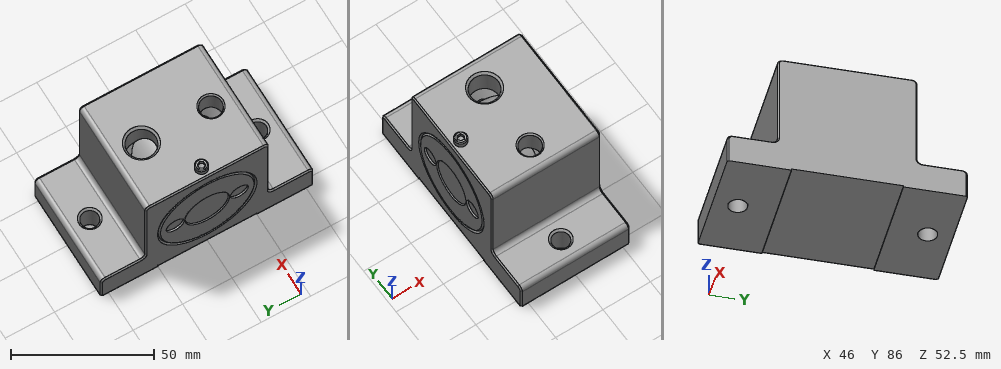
import cadquery as cq
import math

width = 46.0
foot_length = 86.0
foot_height = 11.95
block_length = 50.0
block_height = 50.0
profile_fillet = 2.0
end_chamfer = 0.6

relief_length = 40.0
relief_depth = 0.5

bore_height = block_height / 2
cartridge_diameter = 39.05
seam_depth = 0.6
cap_diameter = 18.0
cap_floor_diameter = 17.5
cap_recess = 0.5
pin_hole_diameter = 7.2
pin_hole_offset = 13.0
pin_hole_depth = 0.8

mount_diameter = 7.0
mount_mouth_diameter = 8.6
mount_offset = 34.0

inlet_y = -15.05
inlet_diameter = 8.6
inlet_mouth_diameter = 9.8
inlet_depth = 9.5
inlet_cone_slope = 1.6
outlet_y = 13.1
outlet_diameter = 11.4
outlet_mouth_diameter = 13.25
outlet_depth = 10.15
outlet_pilot_diameter = 6.7
outlet_cone_slope = 1.3

screw_x = -19.0
screw_diameter = 5.0
screw_height = 2.5
screw_chamfer = 0.4
socket_across_flats = 2.5
socket_depth = 1.3
socket_cone_depth = 0.7


def revolve_about_z(points):
    """Solid of revolution about Z from (radius, z) points."""
    return cq.Workplane("XZ").polyline(points).close().revolve(360, (0, 0, 0), (0, 1, 0))


def disc_on_face(diameter, depth, y=0.0, floor_diameter=None):
    """Round cutter sunk into the -X face at bore height, straight or tapered."""
    base = cq.Workplane("YZ", origin=(-width / 2, y, bore_height)).circle(diameter / 2)
    if floor_diameter is None:
        return base.extrude(depth)
    return base.workplane(offset=depth).circle(floor_diameter / 2).loft()


def make_housing():
    foot = cq.Workplane("XY").box(width, foot_length, foot_height, centered=(True, True, False))
    block = cq.Workplane("XY").box(width, block_length, block_height, centered=(True, True, False))
    body = foot.union(block)
    body = body.edges("|X").edges("not(<Z)").fillet(profile_fillet)
    body = body.faces("<X or >X").edges("not(<Z)").chamfer(end_chamfer)
    relief = cq.Workplane("XY").box(width, relief_length, relief_depth, centered=(True, True, False))
    return body.cut(relief)


def cut_cartridge_face(body):
    seam_radius = cartridge_diameter / 2
    seam = (
        cq.Workplane("XY", origin=(-width / 2, 0, bore_height))
        .polyline([
            (0, seam_radius - seam_depth),
            (seam_depth, seam_radius),
            (0, seam_radius + seam_depth),
        ])
        .close()
        .revolve(360, (0, 0, 0), (1, 0, 0))
    )
    body = body.cut(seam)
    body = body.cut(disc_on_face(cap_diameter, cap_recess, floor_diameter=cap_floor_diameter))
    for side in (-1, 1):
        body = body.cut(disc_on_face(pin_hole_diameter, pin_hole_depth, side * pin_hole_offset))
    return body


def cut_mounting_holes(body):
    radius = mount_diameter / 2
    mouth_radius = mount_mouth_diameter / 2
    hole = revolve_about_z([
        (0, 0),
        (radius, 0),
        (radius, foot_height - (mouth_radius - radius)),
        (mouth_radius, foot_height),
        (0, foot_height),
    ])
    for side in (-1, 1):
        body = body.cut(hole.translate((0, side * mount_offset, 0)))
    return body


def make_port(diameter, mouth_diameter, depth, cone_slope, pilot_diameter=0.0):
    """Chamfered port with a conical end that may lead into a narrower pilot bore."""
    radius = diameter / 2
    mouth_radius = mouth_diameter / 2
    pilot_radius = pilot_diameter / 2
    cone_top = block_height - depth
    cone_bottom = cone_top - cone_slope * (radius - pilot_radius)
    points = [
        (0, block_height),
        (mouth_radius, block_height),
        (radius, block_height - (mouth_radius - radius)),
        (radius, cone_top),
        (pilot_radius, cone_bottom),
    ]
    if pilot_diameter > 0:
        points += [(pilot_radius, bore_height), (0, bore_height)]
    return revolve_about_z(points)


def cut_ports(body):
    inlet = make_port(inlet_diameter, inlet_mouth_diameter, inlet_depth, inlet_cone_slope)
    outlet = make_port(
        outlet_diameter, outlet_mouth_diameter, outlet_depth, outlet_cone_slope, outlet_pilot_diameter
    )
    ports = inlet.translate((0, inlet_y, 0)).union(outlet.translate((0, outlet_y, 0)))
    cartridge = (
        cq.Workplane("YZ", origin=(-width / 2, 0, bore_height))
        .circle(cartridge_diameter / 2)
        .extrude(width)
    )
    return body.cut(ports.cut(cartridge))


def add_set_screw(body):
    screw_top = block_height + screw_height
    screw = (
        cq.Workplane("XY", origin=(screw_x, 0, block_height))
        .circle(screw_diameter / 2)
        .extrude(screw_height)
        .faces(">Z")
        .chamfer(screw_chamfer)
    )
    socket_across_corners = socket_across_flats / math.cos(math.pi / 6)
    socket = (
        cq.Workplane("XY", origin=(screw_x, 0, screw_top))
        .polygon(6, socket_across_corners)
        .extrude(-socket_depth)
    )
    socket_floor = screw_top - socket_depth
    drill_point = revolve_about_z([
        (0, socket_floor),
        (socket_across_flats / 2, socket_floor),
        (0, socket_floor - socket_cone_depth),
    ]).translate((screw_x, 0, 0))
    return body.union(screw).cut(socket).cut(drill_point)


housing = make_housing()
housing = cut_cartridge_face(housing)
housing = cut_mounting_holes(housing)
housing = cut_ports(housing)
result = add_set_screw(housing)